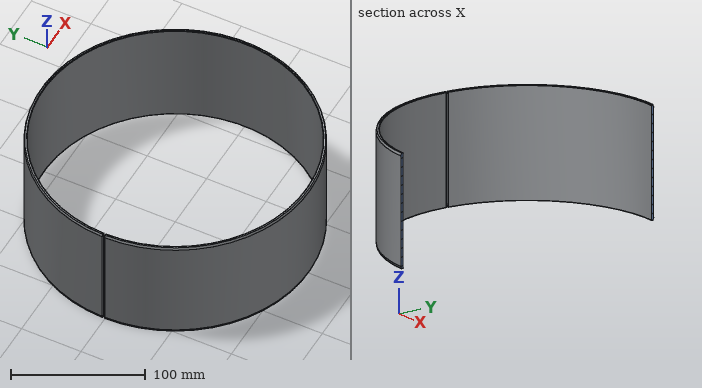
import cadquery as cq

outer_diameter = 225.0
height = 90.0
wall = 2.5
rim_chamfer_height = 2.0
rim_chamfer_depth = 0.7
bore_chamfer = 0.5
split_angle = 1.0

outer_radius = outer_diameter / 2
inner_radius = outer_radius - wall
rim_radius = outer_radius - rim_chamfer_depth
bore_rim_radius = inner_radius + bore_chamfer
half_height = height / 2
outer_shoulder = half_height - rim_chamfer_height
inner_shoulder = half_height - bore_chamfer

wall_section = (
    cq.Workplane("XZ")
    .polyline(
        [
            (-bore_rim_radius, -half_height),
            (-rim_radius, -half_height),
            (-outer_radius, -outer_shoulder),
            (-outer_radius, outer_shoulder),
            (-rim_radius, half_height),
            (-bore_rim_radius, half_height),
            (-inner_radius, inner_shoulder),
            (-inner_radius, -inner_shoulder),
        ]
    )
    .close()
)

result = wall_section.revolve(360 - split_angle, (0, 0), (0, 1))